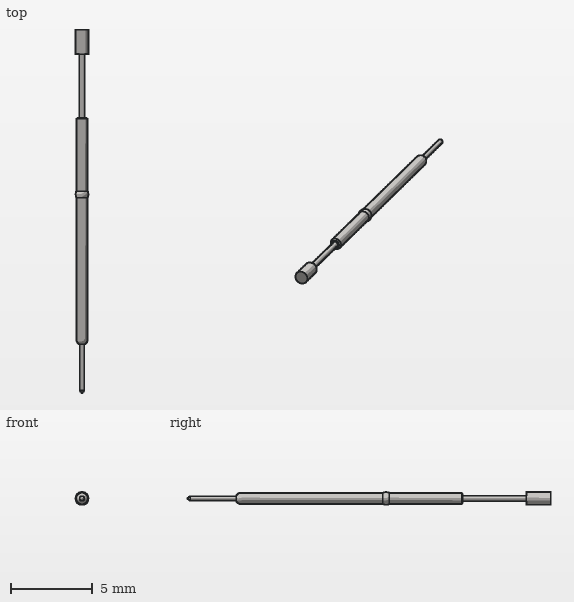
import cadquery as cq

total_length = 22.3
head_diameter = 0.8
head_length = 1.5
plunger_diameter = 0.35
plunger_exposed_length = 3.9

barrel_diameter = 0.7
barrel_chamfer_length = 0.08
barrel_chamfer_width = 0.1
press_ring_diameter = 0.8
press_ring_width = 0.4
press_ring_center_y = 12.2

needle_diameter = 0.3
needle_tip_length = 0.18
barrel_nose_end_y = 3.0
barrel_nose_length = 0.35
nose_bulge = 0.05

head_radius = head_diameter / 2
plunger_radius = plunger_diameter / 2
barrel_radius = barrel_diameter / 2
needle_radius = needle_diameter / 2

head_front_y = total_length - head_length
barrel_back_y = head_front_y - plunger_exposed_length
barrel_nose_start_y = barrel_nose_end_y + barrel_nose_length


def revolve_about_y(profile):
    """Turn a closed half profile, drawn as (radius, Y), into a solid of revolution."""
    return profile.close().revolve(360, (0, 0, 0), (0, 1, 0))


def make_needle():
    """Thin tail with a conical point, running into the barrel."""
    return revolve_about_y(
        cq.Workplane("XY")
        .moveTo(0, 0)
        .lineTo(needle_radius, needle_tip_length)
        .lineTo(needle_radius, barrel_nose_start_y)
        .lineTo(0, barrel_nose_start_y)
    )


def make_barrel():
    """Barrel with a rounded nose, a slightly raised press ring and a chamfered back end."""
    ring_front_y = press_ring_center_y - press_ring_width / 2
    ring_back_y = press_ring_center_y + press_ring_width / 2
    nose_mid_radius = (barrel_radius + needle_radius) / 2 + nose_bulge
    nose_mid_y = (barrel_nose_end_y + barrel_nose_start_y) / 2 - nose_bulge
    return revolve_about_y(
        cq.Workplane("XY")
        .moveTo(0, barrel_nose_end_y)
        .lineTo(needle_radius, barrel_nose_end_y)
        .threePointArc((nose_mid_radius, nose_mid_y), (barrel_radius, barrel_nose_start_y))
        .lineTo(barrel_radius, ring_front_y)
        .threePointArc((press_ring_diameter / 2, press_ring_center_y), (barrel_radius, ring_back_y))
        .lineTo(barrel_radius, barrel_back_y - barrel_chamfer_length)
        .lineTo(barrel_radius - barrel_chamfer_width, barrel_back_y)
        .lineTo(0, barrel_back_y)
    )


def make_head_and_plunger():
    """Cylindrical contact head on the plunger rod."""
    return revolve_about_y(
        cq.Workplane("XY")
        .moveTo(0, barrel_back_y - barrel_chamfer_length)
        .lineTo(plunger_radius, barrel_back_y - barrel_chamfer_length)
        .lineTo(plunger_radius, head_front_y)
        .lineTo(head_radius, head_front_y)
        .lineTo(head_radius, total_length)
        .lineTo(0, total_length)
    )


result = make_barrel().union(make_needle()).union(make_head_and_plunger())